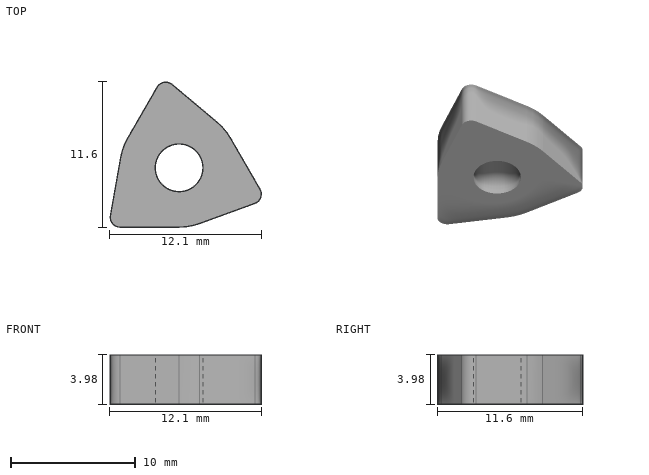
import cadquery as cq
import math

inscribed_radius = 4.76
corner_radius = 0.8
corner_angle = 80
corner_count = 3
first_corner_direction = 100
hole_diameter = 3.8
thickness = 3.98

corner_distance = inscribed_radius / math.sin(math.radians(corner_angle / 2))
pitch_angle = 360 / corner_count
blunt_half_turn = (pitch_angle - (180 - corner_angle)) / 2
blunt_distance = inscribed_radius / math.cos(math.radians(blunt_half_turn))


def polar_point(distance, direction):
    angle = math.radians(direction)
    return (distance * math.cos(angle), distance * math.sin(angle))


def sharp_outline():
    points = []
    for index in range(corner_count):
        direction = first_corner_direction + index * pitch_angle
        points.append(polar_point(corner_distance, direction))
        points.append(polar_point(blunt_distance, direction + pitch_angle / 2))
    return points


def vertical_edges_at(body, distance):
    """Select the vertical edges at a given distance from the central axis."""
    tolerance = 0.001
    return body.edges("|Z").filter(
        lambda edge: abs(math.hypot(edge.Center().x, edge.Center().y) - distance) < tolerance
    )


body = cq.Workplane("XY").polyline(sharp_outline()).close().extrude(thickness)

body = vertical_edges_at(body, corner_distance).fillet(corner_radius)
body = vertical_edges_at(body, blunt_distance).fillet(inscribed_radius)

result = body.faces(">Z").workplane(origin=(0, 0, thickness)).hole(hole_diameter)